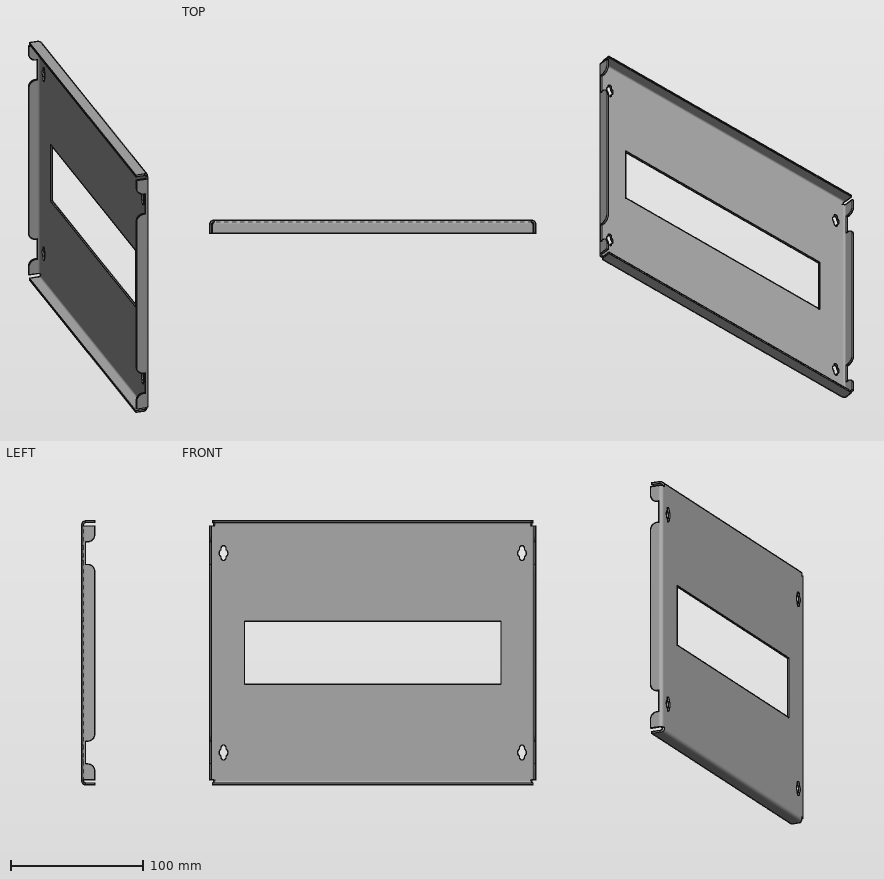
import cadquery as cq

WIDTH = 247.0
DEPTH = 10.0
HEIGHT = 200.0

SHEET = 1.5
INNER_BEND = 1.5
OUTER_BEND = INNER_BEND + SHEET

RIM_END_GAP = 2.1
RIM_END_TAPER = 2.0
RIM_HALF_LENGTH = WIDTH / 2 - RIM_END_GAP
SIDE_END_GAP = 3.8
SIDE_HALF_LENGTH = HEIGHT / 2 - SIDE_END_GAP

GAP_INNER_Z = 67.0
GAP_OUTER_Z = 84.0
TAB_RADIUS = 5.5

WINDOW_WIDTH = 194.0
WINDOW_HEIGHT = 47.5

HOLE_X = 113.0
HOLE_Z = 75.5
HOLE_DIAMETER = 6.5
HOLE_SLOT_WIDTH = 3.5
HOLE_SLOT_LENGTH = 11.2
SLOT_ANGLE = 90

BACK = DEPTH / 2
FRONT = -DEPTH / 2
BEND_END = BACK - OUTER_BEND


def bent_channel(span, half_length):
    """U-shaped channel along Z: panel at the back, bent flanges on both X edges."""
    half = span / 2
    inner_half = half - SHEET
    inner_back = BACK - SHEET
    profile = (
        cq.Workplane("XY")
        .moveTo(-half, FRONT)
        .lineTo(-half, BEND_END)
        .radiusArc((-half + OUTER_BEND, BACK), OUTER_BEND)
        .lineTo(half - OUTER_BEND, BACK)
        .radiusArc((half, BEND_END), OUTER_BEND)
        .lineTo(half, FRONT)
        .lineTo(inner_half, FRONT)
        .lineTo(inner_half, BEND_END)
        .radiusArc((inner_half - INNER_BEND, inner_back), -INNER_BEND)
        .lineTo(-inner_half + INNER_BEND, inner_back)
        .radiusArc((-inner_half, BEND_END), -INNER_BEND)
        .lineTo(-inner_half, FRONT)
        .close()
    )
    return profile.extrude(half_length, both=True)


def side_flange_gaps():
    """Cutters that open the two gaps in both side flanges, leaving rounded tab corners."""
    half_gap = (GAP_OUTER_Z - GAP_INNER_Z) / 2
    gap_centre = (GAP_OUTER_Z + GAP_INNER_Z) / 2
    half_mouth = half_gap + TAB_RADIUS
    rounding_start = FRONT + TAB_RADIUS
    gap = (
        cq.Workplane("YZ")
        .moveTo(BEND_END, -half_gap)
        .lineTo(rounding_start, -half_gap)
        .radiusArc((FRONT, -half_mouth), -TAB_RADIUS)
        .lineTo(FRONT, half_mouth)
        .radiusArc((rounding_start, half_gap), -TAB_RADIUS)
        .lineTo(BEND_END, half_gap)
        .close()
        .extrude(WIDTH, both=True)
    )
    upper_gap = gap.translate((0, 0, gap_centre))
    lower_gap = gap.translate((0, 0, -gap_centre))
    return upper_gap.union(lower_gap)


def rim_flanges():
    """Top and bottom flanges with the panel between them, their bends tapered at both ends."""
    panel_half_length = RIM_HALF_LENGTH - RIM_END_TAPER
    outline = (
        cq.Workplane("XY")
        .polyline([
            (-RIM_HALF_LENGTH, FRONT),
            (-RIM_HALF_LENGTH, BEND_END),
            (-panel_half_length, BACK),
            (panel_half_length, BACK),
            (RIM_HALF_LENGTH, BEND_END),
            (RIM_HALF_LENGTH, FRONT),
        ])
        .close()
        .extrude(HEIGHT, both=True)
    )
    along_x = bent_channel(HEIGHT, RIM_HALF_LENGTH).rotate((0, 0, 0), (0, 1, 0), 90)
    return along_x.intersect(outline)


def window():
    """Rectangular opening through the panel."""
    return cq.Workplane("XZ").rect(WINDOW_WIDTH, WINDOW_HEIGHT).extrude(DEPTH, both=True)


def fixing_holes():
    """Four round holes, each crossed by a vertical slot."""
    centres = cq.Workplane("XZ").rect(2 * HOLE_X, 2 * HOLE_Z, forConstruction=True).vertices()
    round_holes = centres.circle(HOLE_DIAMETER / 2).extrude(DEPTH, both=True)
    slots = centres.slot2D(HOLE_SLOT_LENGTH, HOLE_SLOT_WIDTH, SLOT_ANGLE).extrude(DEPTH, both=True)
    return round_holes.union(slots)


side_flanges = bent_channel(WIDTH, SIDE_HALF_LENGTH).cut(side_flange_gaps())
result = side_flanges.union(rim_flanges()).cut(window()).cut(fixing_holes())